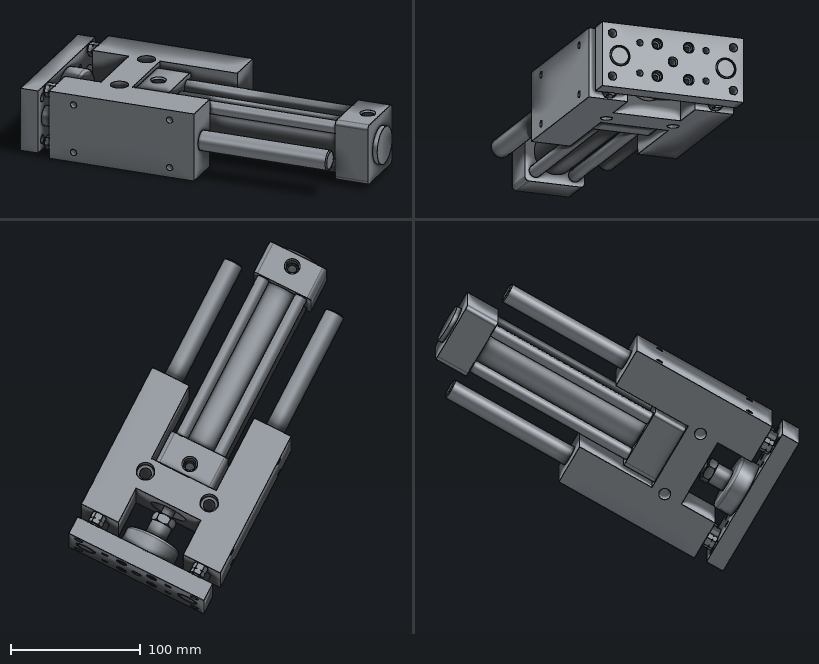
import cadquery as cq
import math


plate_thickness = 14.8
plate_width = 116.5
plate_height = 52.0
corner_hole_diameter = 6.7
corner_hole_y = 50.0
corner_hole_z = 17.3
dowel_hole_diameter = 5.0
dowel_hole_y = 27.3
dowel_hole_z = 12.3
coupler_screw_spacing = 26.0
coupler_screw_mouth_diameter = 8.6
coupler_screw_hole_diameter = 7.3
coupler_screw_pilot_diameter = 4.0
coupler_screw_hole_depth = 4.2
center_hole_mouth_diameter = 7.8
center_hole_diameter = 5.5

rod_diameter = 16.0
rod_spacing = 87.5
rod_end_x = 251.7
rod_chamfer = 0.98
rod_groove_diameter = 16.5

disc_diameter = 45.0
disc_end_x = 29.9
disc_fillet = 2.2
neck_diameter = 17.5
nut_start_x = 43.0
nut_end_x = 50.0
nut_across_flats = 17.0
nut_chamfer = 1.25
piston_rod_diameter = 9.8

housing_start_x = 24.5
housing_length = 120.5
housing_width = 120.0
housing_height = 56.0
arm_gap = 55.8
crossbar_start_x = 54.7
crossbar_end_x = 81.0
nose_bore_diameter = 30.0
nose_bore_depth = 10.0
mount_hole_diameter = 9.0
mount_counterbore_diameter = 14.0
mount_counterbore_depth = 9.0
mount_hole_x = 69.8
mount_hole_spacing = 55.0
side_hole_diameter = 5.0
side_hole_depth = 11.2
side_hole_columns = (45.0, 124.7)
side_hole_spacing = 39.5

stop_tip_diameter = 6.7
stop_spacing_z = 43.8
stop_hex_across_flats = 10.0
stop_hex_chamfer = 0.5
stop_head_start_x = 16.2
stop_nut_start_x = 19.8

cap_side = 49.5
cap_length = 27.0
cap_fillet = 3.3
rear_cap_end_x = 275.0
rear_boss_end_x = 279.0
rear_boss_diameter = 30.0
barrel_diameter = 34.0
tie_rod_diameter = 10.0
tie_rod_spacing = 32.5
port_mouth_diameter = 12.0
port_diameter = 9.5
port_floor_diameter = 7.0
port_chamfer = 1.5
port_depth = 11.2
port_inset = 10.0

housing_end_x = housing_start_x + housing_length
front_cap_end_x = crossbar_end_x + cap_length
rear_cap_start_x = rear_cap_end_x - cap_length
rod_y = rod_spacing / 2


def signed_pairs(a, b):
    """The four points (+-a, +-b)."""
    return [(i * a, j * b) for i in (-1, 1) for j in (-1, 1)]


def box_x(start, end, width, height):
    """Box along X, centred on the cylinder axis."""
    return cq.Workplane("YZ", origin=(start, 0, 0)).rect(width, height).extrude(end - start)


def cylinder_x(start, end, diameter, points=((0, 0),)):
    """Cylinders along X at the given (y, z) points."""
    plane = cq.Workplane("YZ", origin=(start, 0, 0)).pushPoints(points)
    return plane.circle(diameter / 2).extrude(end - start)


def hex_x(start, end, across_flats, chamfer):
    """Hexagon along X with flats up and down and conically chamfered corners."""
    corner_diameter = across_flats / math.cos(math.pi / 6)
    prism = cq.Workplane("YZ", origin=(start, 0, 0)).polygon(6, corner_diameter).extrude(end - start)
    envelope = cylinder_x(start, end, corner_diameter).edges().chamfer(chamfer)
    return prism.intersect(envelope)


def revolve_x(profile):
    """Solid turned about the X axis from (x, radius) points."""
    return cq.Workplane("XY").polyline(profile).close().revolve(360, (0, 0, 0), (1, 0, 0))


def countersink_x(mouth_diameter, hole_diameter):
    """Cone of 45 degrees that opens a hole at the front face of the plate."""
    mouth, hole = mouth_diameter / 2, hole_diameter / 2
    return revolve_x([(0, 0), (0, mouth), (mouth - hole, hole), (mouth - hole, 0)])


def tool_plate():
    """Plate with corner and dowel holes, stepped coupler screw holes and a countersunk center hole."""
    plate = box_x(0, plate_thickness, plate_width, plate_height)
    corner_points = signed_pairs(corner_hole_y, corner_hole_z)
    plate = plate.cut(cylinder_x(0, plate_thickness, corner_hole_diameter, corner_points))
    dowel_points = signed_pairs(dowel_hole_y, dowel_hole_z)
    plate = plate.cut(cylinder_x(0, plate_thickness, dowel_hole_diameter, dowel_points))

    screw_points = signed_pairs(coupler_screw_spacing / 2, coupler_screw_spacing / 2)
    screw_sink = countersink_x(coupler_screw_mouth_diameter, coupler_screw_hole_diameter)
    for y, z in screw_points:
        plate = plate.cut(screw_sink.translate((0, y, z)))
    plate = plate.cut(cylinder_x(0, coupler_screw_hole_depth, coupler_screw_hole_diameter, screw_points))
    plate = plate.cut(cylinder_x(0, plate_thickness, coupler_screw_pilot_diameter, screw_points))

    plate = plate.cut(countersink_x(center_hole_mouth_diameter, center_hole_diameter))
    return plate.cut(cylinder_x(0, plate_thickness, center_hole_diameter))


def coupler():
    """Round-edged disc, neck and lock nut on the end of the piston rod."""
    disc = cylinder_x(plate_thickness, disc_end_x, disc_diameter).faces(">X").edges().fillet(disc_fillet)
    neck = cylinder_x(disc_end_x, nut_start_x, neck_diameter)
    nut = hex_x(nut_start_x, nut_end_x, nut_across_flats, nut_chamfer)
    piston_rod = cylinder_x(nut_end_x, front_cap_end_x, piston_rod_diameter)
    return disc.union(neck).union(nut).union(piston_rod)


def rod_groove():
    """V-shaped ring between the chamfered rod end and its countersunk hole in the plate."""
    rod_radius = rod_diameter / 2
    return revolve_x([(0, rod_radius - rod_chamfer), (0, rod_groove_diameter / 2), (rod_chamfer, rod_radius)])


def moving_carriage():
    """Tool plate with its guide rods, coupler and piston rod."""
    carriage = tool_plate().union(coupler())
    rod = cylinder_x(0, rod_end_x, rod_diameter).faces(">X").chamfer(rod_chamfer)
    groove = rod_groove()
    for y in (-rod_y, rod_y):
        carriage = carriage.union(rod.translate((0, y, 0))).cut(groove.translate((0, y, 0)))
    return carriage


def guide_housing():
    """H-shaped block with the crossbar that carries the cylinder."""
    block = box_x(housing_start_x, housing_end_x, housing_width, housing_height)
    block = block.cut(box_x(housing_start_x, crossbar_start_x, arm_gap, housing_height))
    block = block.cut(box_x(crossbar_end_x, housing_end_x, arm_gap, housing_height))
    nose_bore_end_x = crossbar_start_x + nose_bore_depth
    block = block.cut(cylinder_x(crossbar_start_x, nose_bore_end_x, nose_bore_diameter))

    mount_points = [(mount_hole_x, i * mount_hole_spacing / 2) for i in (-1, 1)]
    top = cq.Workplane("XY", origin=(0, 0, housing_height / 2)).pushPoints(mount_points)
    block = block.cut(top.circle(mount_hole_diameter / 2).extrude(-housing_height))
    block = block.cut(top.circle(mount_counterbore_diameter / 2).extrude(-mount_counterbore_depth))

    side_points = [(x, i * side_hole_spacing / 2) for x in side_hole_columns for i in (-1, 1)]
    for side in (-1, 1):
        face = cq.Workplane("XZ", origin=(0, side * housing_width / 2, 0)).pushPoints(side_points)
        block = block.cut(face.circle(side_hole_diameter / 2).extrude(side * side_hole_depth))
    return block


def stop_screw():
    """Hexagon-headed screw with a lock nut against the housing."""
    tip = cylinder_x(plate_thickness, stop_head_start_x, stop_tip_diameter)
    head = hex_x(stop_head_start_x, stop_nut_start_x, stop_hex_across_flats, stop_hex_chamfer)
    nut = hex_x(stop_nut_start_x, housing_start_x, stop_hex_across_flats, stop_hex_chamfer)
    return tip.union(head).union(nut)


def end_cap(start):
    """Square cylinder cap with rounded long edges."""
    return box_x(start, start + cap_length, cap_side, cap_side).edges("|X").fillet(cap_fillet)


def port(x):
    """Air port tool: chamfered mouth and a floor with a conical rim."""
    mouth, bore, floor = port_mouth_diameter / 2, port_diameter / 2, port_floor_diameter / 2
    rim_height = bore - floor
    profile = [
        (0, 0),
        (mouth, 0),
        (bore, -port_chamfer),
        (bore, -port_depth),
        (floor, -port_depth - rim_height),
        (0, -port_depth - rim_height),
    ]
    turned = cq.Workplane("XZ").polyline(profile).close().revolve(360, (0, 0, 0), (0, 1, 0))
    return turned.translate((x, 0, cap_side / 2))


def cylinder():
    """Barrel and tie rods between two ported caps, with a boss at the rear."""
    body = end_cap(crossbar_end_x).union(end_cap(rear_cap_start_x))
    body = body.union(cylinder_x(front_cap_end_x, rear_cap_start_x, barrel_diameter))
    tie_points = signed_pairs(tie_rod_spacing / 2, tie_rod_spacing / 2)
    body = body.union(cylinder_x(front_cap_end_x, rear_cap_start_x, tie_rod_diameter, tie_points))
    body = body.union(cylinder_x(rear_cap_end_x, rear_boss_end_x, rear_boss_diameter))
    for x in (crossbar_end_x + port_inset, rear_cap_end_x - port_inset):
        body = body.cut(port(x))
    return body


def fixed_unit():
    """Guide housing with its stop screws and cylinder, bored for the moving rods."""
    unit = guide_housing().union(cylinder())
    screw = stop_screw()
    for y, z in signed_pairs(rod_y, stop_spacing_z / 2):
        unit = unit.union(screw.translate((0, y, z)))
    guide_points = [(-rod_y, 0), (rod_y, 0)]
    unit = unit.cut(cylinder_x(housing_start_x, housing_end_x, rod_diameter, guide_points))
    return unit.cut(cylinder_x(crossbar_start_x, front_cap_end_x, piston_rod_diameter))


fixed = fixed_unit()
carriage = moving_carriage()
result = cq.Compound.makeCompound([fixed.val(), carriage.val()])